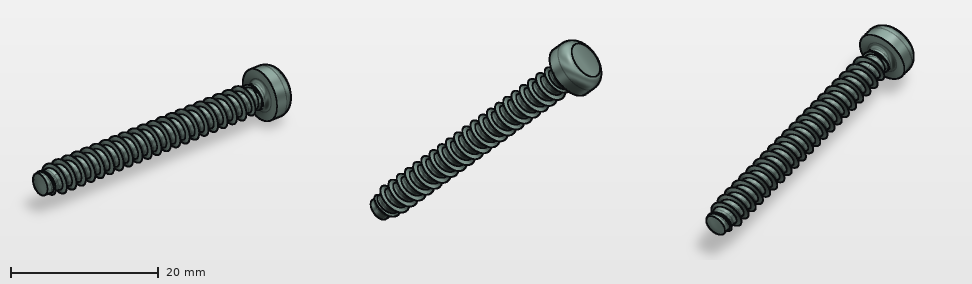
import cadquery as cq

HEAD_RADIUS = 3.75
HEAD_HEIGHT = 3.2
HEAD_RIM_HEIGHT = 1.65
HEAD_TOP_RADIUS = 2.6

NECK_RADIUS = 1.83
NECK_END = 1.07
UNDERHEAD_FILLET = 0.57
CORE_RADIUS = 1.6
CORE_START = 1.5
SHANK_LENGTH = 37.9
TIP_CONE_HEIGHT = 0.09

PITCH = 1.63
CREST_HEIGHT = 0.73
CREST_WIDTH = 0.04
FLANK_FOOT_HEIGHT = 0.09
FLANK_FOOT_WIDTH = 0.48
HEAD_SIDE_FOOT = 0.72
TIP_SIDE_FOOT = 0.9
HEAD_FOOT_RADIUS = CORE_RADIUS - 0.02
TIP_FOOT_RADIUS = CORE_RADIUS - 0.005
ROOT_OVERLAP = 0.15
THREAD_PHASE_DEPTH = 2.55

THREAD_START = 0.7
FULL_THREAD_START = 2.9
FULL_THREAD_END = 35.4
THREAD_END = 37.6
START_CREST_HEIGHT = 0.2
END_CREST_HEIGHT = 0.04
RUNOUT_WIDTH_SHARE = 0.3


def make_body():
    """Head, neck, core and shallow conical tip as one turned solid."""
    round_height = HEAD_HEIGHT - HEAD_RIM_HEIGHT
    round_width = HEAD_RADIUS - HEAD_TOP_RADIUS
    round_radius = (round_height**2 + round_width**2) / (2 * round_width)
    fillet_edge_radius = NECK_RADIUS + UNDERHEAD_FILLET
    outline = (
        cq.Workplane("XZ")
        .moveTo(0, -HEAD_HEIGHT)
        .lineTo(HEAD_TOP_RADIUS, -HEAD_HEIGHT)
        .radiusArc((HEAD_RADIUS, -HEAD_RIM_HEIGHT), -round_radius)
        .lineTo(HEAD_RADIUS, 0)
        .lineTo(fillet_edge_radius, 0)
        .radiusArc((NECK_RADIUS, UNDERHEAD_FILLET), UNDERHEAD_FILLET)
        .lineTo(NECK_RADIUS, NECK_END)
        .lineTo(CORE_RADIUS, CORE_START)
        .lineTo(CORE_RADIUS, SHANK_LENGTH)
        .lineTo(0, SHANK_LENGTH + TIP_CONE_HEIGHT)
        .close()
    )
    return outline.revolve(360, (0, 0, 0), (0, 1, 0))


def ridge_section(turn_height, crest_height, head_share, tip_share):
    """Closed section of the ridge, placed at a height on the helix that starts on the +X axis.

    Heights above the core follow crest_height. The widths of the half toward the head and
    of the half toward the tip follow head_share and tip_share.
    """
    height_share = crest_height / CREST_HEIGHT
    inner_radius = CORE_RADIUS - ROOT_OVERLAP
    flank_foot_radius = CORE_RADIUS + FLANK_FOOT_HEIGHT * height_share
    crest_radius = CORE_RADIUS + crest_height
    corners = [
        (inner_radius, -HEAD_SIDE_FOOT * head_share),
        (HEAD_FOOT_RADIUS, -HEAD_SIDE_FOOT * head_share),
        (flank_foot_radius, -FLANK_FOOT_WIDTH / 2 * head_share),
        (crest_radius, -CREST_WIDTH / 2 * head_share),
        (crest_radius, CREST_WIDTH / 2 * tip_share),
        (flank_foot_radius, FLANK_FOOT_WIDTH / 2 * tip_share),
        (TIP_FOOT_RADIUS, TIP_SIDE_FOOT * tip_share),
        (inner_radius, TIP_SIDE_FOOT * tip_share),
    ]
    points = [cq.Vector(radius, 0, offset) for radius, offset in corners]
    section = cq.Wire.makePolygon(points, close=True)
    turn = 360 * turn_height / PITCH
    return section.rotate(cq.Vector(0, 0, 0), cq.Vector(0, 0, 1), turn).translate(cq.Vector(0, 0, turn_height))


def sweep_ridge(start_depth, end_depth, start_shape, end_shape):
    """Sweep the ridge between two depths; a shape is (crest height, head share, tip share)."""
    length = end_depth - start_depth
    helix = cq.Wire.makeHelix(PITCH, length, CORE_RADIUS)
    start_section = ridge_section(0, *start_shape)
    end_section = ridge_section(length, *end_shape)
    ridge = cq.Solid.sweep_multi([start_section, end_section], helix, isFrenet=True)
    turn = 360 * (start_depth - THREAD_PHASE_DEPTH) / PITCH
    return ridge.rotate(cq.Vector(0, 0, 0), cq.Vector(0, 0, 1), turn).translate(cq.Vector(0, 0, start_depth))


def make_thread():
    """Full-height thread with a fading runout at each of its ends."""
    full_shape = (CREST_HEIGHT, 1, 1)
    start_shape = (START_CREST_HEIGHT, RUNOUT_WIDTH_SHARE, RUNOUT_WIDTH_SHARE)
    end_shape = (END_CREST_HEIGHT, 1, RUNOUT_WIDTH_SHARE)
    return [
        sweep_ridge(THREAD_START, FULL_THREAD_START, start_shape, full_shape),
        sweep_ridge(FULL_THREAD_START, FULL_THREAD_END, full_shape, full_shape),
        sweep_ridge(FULL_THREAD_END, THREAD_END, full_shape, end_shape),
    ]


body = make_body().val()
screw = body.fuse(*make_thread())

result = cq.Workplane(obj=screw).rotate((0, 0, 0), (1, 0, 0), 90)